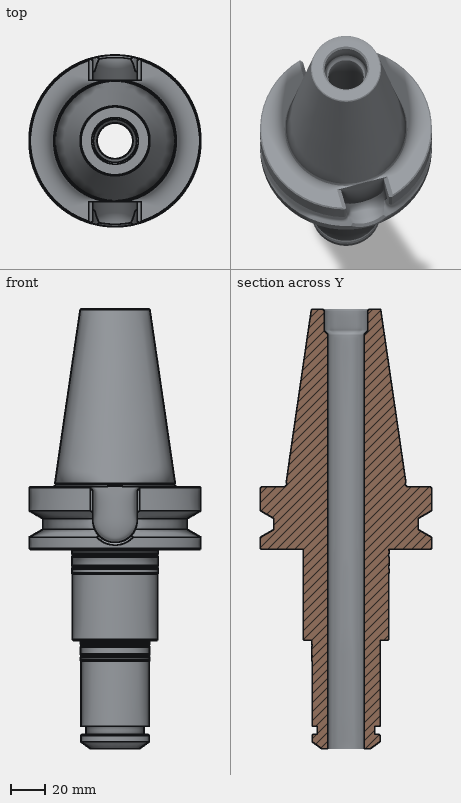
import cadquery as cq
import math

TOTAL_HEIGHT = 255.8
TAPER_LENGTH = 101.3
GAUGE_Z = TOTAL_HEIGHT - TAPER_LENGTH
FLANGE_TOP_Z = 152.5
FLANGE_BOTTOM_Z = 116.0

GAUGE_DIAMETER = 70.0
TAPER_RATIO = 7 / 24
TAPER_TIP_CHAMFER = 0.5
NECK_DIAMETER = 69.3
NECK_BASE_CHAMFER = 1.0

FLANGE_DIAMETER = 100.0
FLANGE_RIM_CHAMFER = 0.8
V_GROOVE_DIAMETER = 84.5
V_GROOVE_ANGLE = 30.0
UPPER_RIM_HEIGHT = 14.0
LOWER_RIM_HEIGHT = 7.2

SLOT_WIDTH = 25.8
SLOT_FLOOR_RADIUS = 35.3
SLOT_BOTTOM_Z = 120.0
SLOT_TOP_CHAMFER = 2.3
SLOT_SIDE_CHAMFER = 1.5

ARBOR_DIAMETER = 50.0
ARBOR_COLLAR_DIAMETER = 50.5
ARBOR_COLLAR_BOTTOM_Z = 101.5
ARBOR_GROOVES_Z = (112.5, 105.6)
ARBOR_BOTTOM_Z = 63.0
ARBOR_BOTTOM_CHAMFER = 0.8

PILOT_DIAMETER = 40.0
PILOT_COLLAR_DIAMETER = 40.5
PILOT_COLLAR_BOTTOM_Z = 51.0
PILOT_GROOVES_Z = (60.0, 54.0)
COLLAR_BEVEL_HEIGHT = 0.8
GROOVE_FLOOR_WIDTH = 0.8

RETAINING_DIAMETER = 34.0
RETAINING_TOP_Z = 13.0
RETAINING_BOTTOM_Z = 8.5
NOSE_RIM_CHAMFER = 0.8
NOSE_RIM_BOTTOM_Z = 4.0
NOSE_TIP_DIAMETER = 28.6

BORE_DIAMETER = 20.7
COUNTERBORE_DIAMETER = 25.0
COUNTERBORE_DEPTH = 12.5
COUNTERBORE_CHAMFER = 1.0

EDGE_TOLERANCE = 0.03


def revolved(points):
    """Solid of revolution about Z from (radius, height) points."""
    return cq.Workplane("XZ").polyline(points).close().revolve(360, (0, 0), (0, 1))


def grooved_collar(collar_diameter, shaft_diameter, top_z, groove_centers, bottom_z):
    """Profile of a raised collar, bevelled at both ends and crossed by shallow bevelled grooves."""
    collar_radius = collar_diameter / 2
    shaft_radius = shaft_diameter / 2
    points = [(shaft_radius, top_z), (collar_radius, top_z - COLLAR_BEVEL_HEIGHT)]
    for center in groove_centers:
        floor_top = center + GROOVE_FLOOR_WIDTH / 2
        floor_bottom = center - GROOVE_FLOOR_WIDTH / 2
        points += [
            (collar_radius, floor_top + COLLAR_BEVEL_HEIGHT),
            (shaft_radius, floor_top),
            (shaft_radius, floor_bottom),
            (collar_radius, floor_bottom - COLLAR_BEVEL_HEIGHT),
        ]
    points += [(collar_radius, bottom_z + COLLAR_BEVEL_HEIGHT), (shaft_radius, bottom_z)]
    return points


def body():
    tip_radius = GAUGE_DIAMETER / 2 - TAPER_LENGTH * TAPER_RATIO / 2
    flange_radius = FLANGE_DIAMETER / 2
    v_radius = V_GROOVE_DIAMETER / 2
    v_flank_height = (flange_radius - v_radius) * math.tan(math.radians(V_GROOVE_ANGLE))
    upper_rim_z = FLANGE_TOP_Z - UPPER_RIM_HEIGHT
    lower_rim_z = FLANGE_BOTTOM_Z + LOWER_RIM_HEIGHT
    arbor_radius = ARBOR_DIAMETER / 2
    pilot_radius = PILOT_DIAMETER / 2
    retaining_radius = RETAINING_DIAMETER / 2

    taper = [
        (0, TOTAL_HEIGHT),
        (tip_radius - TAPER_TIP_CHAMFER, TOTAL_HEIGHT),
        (tip_radius + TAPER_TIP_CHAMFER * TAPER_RATIO / 2, TOTAL_HEIGHT - TAPER_TIP_CHAMFER),
        (GAUGE_DIAMETER / 2, GAUGE_Z),
        (NECK_DIAMETER / 2, GAUGE_Z),
        (NECK_DIAMETER / 2, FLANGE_TOP_Z + NECK_BASE_CHAMFER),
        (NECK_DIAMETER / 2 + NECK_BASE_CHAMFER, FLANGE_TOP_Z),
    ]
    flange = [
        (flange_radius - FLANGE_RIM_CHAMFER, FLANGE_TOP_Z),
        (flange_radius, FLANGE_TOP_Z - FLANGE_RIM_CHAMFER),
        (flange_radius, upper_rim_z),
        (v_radius, upper_rim_z - v_flank_height),
        (v_radius, lower_rim_z + v_flank_height),
        (flange_radius, lower_rim_z),
        (flange_radius, FLANGE_BOTTOM_Z + FLANGE_RIM_CHAMFER),
        (flange_radius - FLANGE_RIM_CHAMFER, FLANGE_BOTTOM_Z),
    ]
    arbor = [
        *grooved_collar(
            ARBOR_COLLAR_DIAMETER,
            ARBOR_DIAMETER,
            FLANGE_BOTTOM_Z,
            ARBOR_GROOVES_Z,
            ARBOR_COLLAR_BOTTOM_Z,
        ),
        (arbor_radius, ARBOR_BOTTOM_Z + ARBOR_BOTTOM_CHAMFER),
        (arbor_radius - ARBOR_BOTTOM_CHAMFER, ARBOR_BOTTOM_Z),
    ]
    pilot = [
        *grooved_collar(
            PILOT_COLLAR_DIAMETER,
            PILOT_DIAMETER,
            ARBOR_BOTTOM_Z,
            PILOT_GROOVES_Z,
            PILOT_COLLAR_BOTTOM_Z,
        ),
        (pilot_radius, RETAINING_TOP_Z),
    ]
    nose = [
        (retaining_radius, RETAINING_TOP_Z),
        (retaining_radius, RETAINING_BOTTOM_Z),
        (pilot_radius - NOSE_RIM_CHAMFER, RETAINING_BOTTOM_Z),
        (pilot_radius, RETAINING_BOTTOM_Z - NOSE_RIM_CHAMFER),
        (pilot_radius, NOSE_RIM_BOTTOM_Z),
        (NOSE_TIP_DIAMETER / 2, 0),
        (0, 0),
    ]
    return revolved(taper + flange + arbor + pilot + nose)


def key_slot():
    """Round-bottomed slot on the -Y side, open at the flange top."""
    half_width = SLOT_WIDTH / 2
    return (
        cq.Workplane("XZ", origin=(0, -SLOT_FLOOR_RADIUS, 0))
        .moveTo(-half_width, GAUGE_Z)
        .lineTo(-half_width, SLOT_BOTTOM_Z + half_width)
        .threePointArc((0, SLOT_BOTTOM_Z), (half_width, SLOT_BOTTOM_Z + half_width))
        .lineTo(half_width, GAUGE_Z)
        .close()
        .extrude(FLANGE_DIAMETER / 2)
    )


def bore():
    bore_radius = BORE_DIAMETER / 2
    wide_radius = COUNTERBORE_DIAMETER / 2
    counterbore_z = TOTAL_HEIGHT - COUNTERBORE_DEPTH
    return revolved([
        (0, 0),
        (bore_radius, 0),
        (bore_radius, counterbore_z - (wide_radius - bore_radius)),
        (wide_radius, counterbore_z),
        (wide_radius, TOTAL_HEIGHT - COUNTERBORE_CHAMFER),
        (wide_radius + COUNTERBORE_CHAMFER, TOTAL_HEIGHT),
        (0, TOTAL_HEIGHT),
    ])


def chamfer_slot_side_edges(part):
    """Bevel the edges where the slot walls leave through the outer cylinder of the flange."""
    half_width = SLOT_WIDTH / 2
    mouth_distance = math.sqrt((FLANGE_DIAMETER / 2) ** 2 - half_width**2)
    edges = []
    for edge in part.edges().vals():
        center = edge.Center()
        within_width = abs(center.x) < half_width + EDGE_TOLERANCE
        at_outside = abs(center.y) > mouth_distance - EDGE_TOLERANCE
        between_rims = SLOT_BOTTOM_Z < center.z < FLANGE_TOP_Z - FLANGE_RIM_CHAMFER
        if within_width and at_outside and between_rims:
            edges.append(edge)
    return part.newObject(edges).chamfer(SLOT_SIDE_CHAMFER)


def slot_top_bevel():
    """Wedge that bevels both top edges of the -Y slot at 45 degrees."""
    half_width = SLOT_WIDTH / 2
    return (
        cq.Workplane("XZ", origin=(0, -SLOT_FLOOR_RADIUS, 0))
        .polyline([
            (-half_width, FLANGE_TOP_Z - SLOT_TOP_CHAMFER),
            (half_width, FLANGE_TOP_Z - SLOT_TOP_CHAMFER),
            (half_width + SLOT_TOP_CHAMFER, FLANGE_TOP_Z),
            (-half_width - SLOT_TOP_CHAMFER, FLANGE_TOP_Z),
        ])
        .close()
        .extrude(FLANGE_DIAMETER / 2)
    )


def both_sides(tool):
    """The -Y tool together with its copy on the +Y side."""
    return tool.add(tool.rotate((0, 0, 0), (0, 0, 1), 180)).combine()


result = body().cut(bore()).cut(both_sides(key_slot()))
result = chamfer_slot_side_edges(result)
result = result.cut(both_sides(slot_top_bevel()))